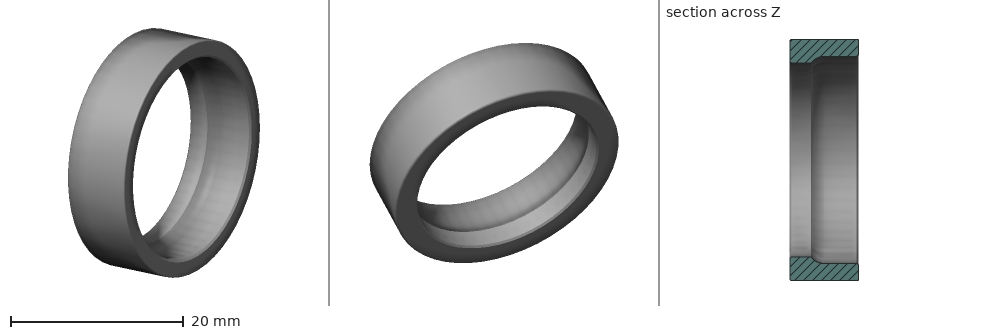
import cadquery as cq
import math

width = 8.0
outer_radius = 14.0
bore_radius = 11.2
relief_radius = 11.95

front_rounding = 0.3
back_rounding = 0.2
bore_chamfer = 0.22

land_end = 2.5
shoulder_end = 4.0


def revolve_about_x(profile):
    return profile.close().revolve(360, (0, 0, 0), (1, 0, 0))


def ring_blank():
    blank = cq.Workplane("YZ").circle(outer_radius).extrude(width)
    blank = blank.faces("<X").edges().fillet(front_rounding)
    return blank.faces(">X").edges().fillet(back_rounding)


def shoulder_middle():
    length = shoulder_end - land_end
    rise = relief_radius - bore_radius
    arc_radius = (length**2 + rise**2) / (2 * rise)
    half_angle = math.asin(length / arc_radius) / 2
    return (
        shoulder_end - arc_radius * math.sin(half_angle),
        relief_radius - arc_radius * (1 - math.cos(half_angle)),
    )


def bore_space():
    profile = (
        cq.Workplane("XY")
        .moveTo(0, 0)
        .lineTo(0, bore_radius + bore_chamfer)
        .lineTo(bore_chamfer, bore_radius)
        .lineTo(land_end, bore_radius)
        .threePointArc(shoulder_middle(), (shoulder_end, relief_radius))
        .lineTo(width - bore_chamfer, relief_radius)
        .lineTo(width, relief_radius + bore_chamfer)
        .lineTo(width, 0)
    )
    return revolve_about_x(profile)


result = ring_blank().cut(bore_space())